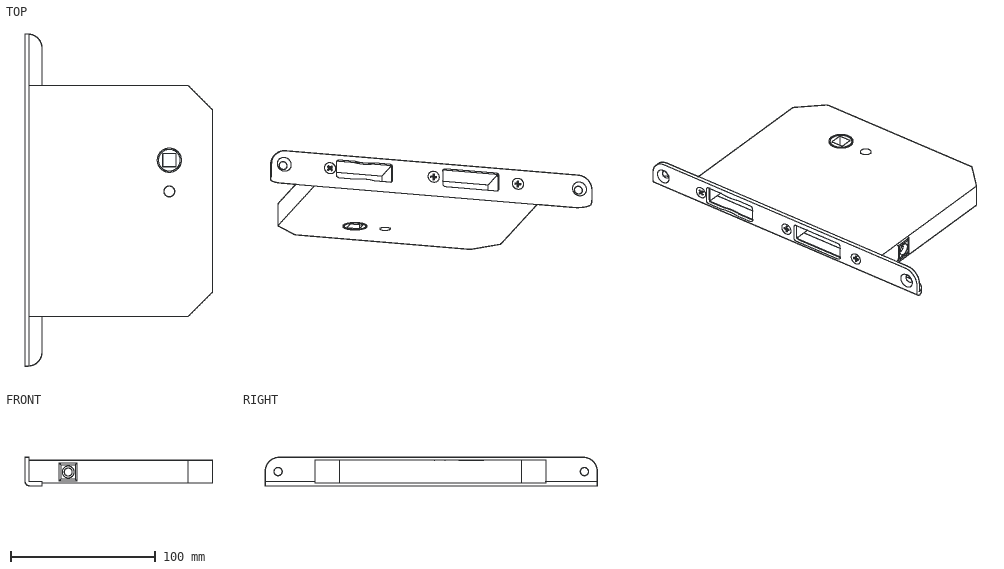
import cadquery as cq


PLATE_LENGTH = 230.0
PLATE_HEIGHT = 20.0
PLATE_THICKNESS = 3.0
FLANGE_WIDTH = 12.0
BEND_RADIUS = 3.5
END_RADIUS = 10.0
PLATE_BOTTOM = -PLATE_HEIGHT / 2
FLANGE_TOP = PLATE_BOTTOM + PLATE_THICKNESS

MOUNT_HOLE_Y = 106.0
MOUNT_HOLE_DIAMETER = 5.5
MOUNT_SINK_DIAMETER = 10.0

CASE_LENGTH_X = 127.0
CASE_LENGTH_Y = 160.0
CASE_HEIGHT = 16.0
CASE_CENTRE_Y = -0.6
CASE_CHAMFER = 17.0
CASE_FRONT = PLATE_THICKNESS
CASE_END_Y = CASE_CENTRE_Y - CASE_LENGTH_Y / 2

OPENING_LENGTH = 40.3
OPENING_HEIGHT = 13.0
OPENING_CORNER_RADIUS = 2.0
LATCH_Y = 48.3
DEADBOLT_Y = -28.0
CAVITY_DEPTH = 25.0
LATCH_CAVITY_STEP = 0.7
BULGE_LENGTH = 14.0
BULGE_HEIGHT = 0.7

SCREW_POSITIONS_Y = [73.1, -1.3, -61.8]
SCREW_TURNS = [45.0, 0.0, 0.0]
SCREW_HEAD_DIAMETER = 8.0
SCREW_HEAD_HEIGHT = 2.0
SCREW_SHANK_DIAMETER = 4.0
SCREW_LENGTH = 12.0
CROSS_LENGTH = 4.0
CROSS_WIDTH = 0.8
CROSS_DEPTH = 1.5

FOLLOWER_X = 100.0
FOLLOWER_Y = 27.6
FOLLOWER_DIAMETER = 16.8
FOLLOWER_RIM_DIAMETER = 15.0
FOLLOWER_RIM_HEIGHT = 0.2
SPINDLE_SIZE = 9.0
PIN_HOLE_Y = 6.0
PIN_HOLE_DIAMETER = 7.3

INSERT_X = 30.0
INSERT_Z = -0.3
INSERT_SIZE = 12.4
INSERT_DEPTH = 8.0
INSERT_CHAMFER = 1.3
INSERT_SINK_DIAMETER = 8.2
INSERT_FLOOR_DIAMETER = 5.5
INSERT_SINK_DEPTH = 2.5


def turned_along_x(radius_profile, y):
    """Solid of revolution about the X axis line at the given Y; profile is (x, radius) pairs."""
    first_x = radius_profile[0][0]
    last_x = radius_profile[-1][0]
    outline = [(first_x, 0), *radius_profile, (last_x, 0)]
    return (
        cq.Workplane("XY").polyline(outline).close()
        .revolve(360, (0, 0, 0), (1, 0, 0))
        .translate((0, y, 0))
    )


def screw_blank(y):
    """Countersunk screw without its drive, also used as the tool for its hole."""
    head = SCREW_HEAD_DIAMETER / 2
    shank = SCREW_SHANK_DIAMETER / 2
    return turned_along_x(
        [(0, head), (SCREW_HEAD_HEIGHT, shank), (SCREW_LENGTH, shank)], y
    )


def bolt_opening(y):
    """Rounded rectangular prism that cuts a bolt opening through the faceplate."""
    return (
        cq.Workplane("YZ").rect(OPENING_LENGTH, OPENING_HEIGHT).extrude(PLATE_THICKNESS)
        .edges("|X").fillet(OPENING_CORNER_RADIUS)
        .translate((0, y, 0))
    )


def latch_bulges():
    """Shallow arcs that narrow the latch opening at mid-length, above and below."""
    half = BULGE_LENGTH / 2
    edge = OPENING_HEIGHT / 2
    upper = (
        cq.Workplane("YZ").moveTo(-half, edge)
        .threePointArc((0, edge - BULGE_HEIGHT), (half, edge)).close()
        .extrude(PLATE_THICKNESS)
    )
    return upper.union(upper.mirror("XY")).translate((0, LATCH_Y, 0))


def make_faceplate():
    angle = (
        cq.Workplane("XZ")
        .moveTo(0, PLATE_HEIGHT / 2)
        .lineTo(PLATE_THICKNESS, PLATE_HEIGHT / 2)
        .lineTo(PLATE_THICKNESS, FLANGE_TOP)
        .lineTo(FLANGE_WIDTH, FLANGE_TOP)
        .lineTo(FLANGE_WIDTH, PLATE_BOTTOM)
        .lineTo(BEND_RADIUS, PLATE_BOTTOM)
        .radiusArc((0, PLATE_BOTTOM + BEND_RADIUS), BEND_RADIUS)
        .close()
        .extrude(PLATE_LENGTH / 2, both=True)
    )
    envelope = cq.Workplane("XY").box(
        FLANGE_WIDTH, PLATE_LENGTH, PLATE_HEIGHT, centered=(False, True, True)
    )
    rounded_plate = envelope.edges("|X and >Z").fillet(END_RADIUS)
    rounded_flange = envelope.edges("|Z and >X").fillet(END_RADIUS)
    plate = angle.intersect(rounded_plate).intersect(rounded_flange)

    latch_opening = bolt_opening(LATCH_Y).cut(latch_bulges())
    plate = plate.cut(latch_opening)
    plate = plate.cut(bolt_opening(DEADBOLT_Y))

    for y in (-MOUNT_HOLE_Y, MOUNT_HOLE_Y):
        sink = [(0, MOUNT_SINK_DIAMETER / 2), (PLATE_THICKNESS, MOUNT_HOLE_DIAMETER / 2)]
        plate = plate.cut(turned_along_x(sink, y))
    for y in SCREW_POSITIONS_Y:
        plate = plate.cut(screw_blank(y))
    return plate


def make_case():
    case = (
        cq.Workplane("XY")
        .box(CASE_LENGTH_X, CASE_LENGTH_Y, CASE_HEIGHT, centered=(False, True, True))
        .translate((CASE_FRONT, CASE_CENTRE_Y, 0))
        .edges("|Z and >X").chamfer(CASE_CHAMFER)
    )

    flange_seat = (
        cq.Workplane("XY")
        .box(FLANGE_WIDTH, PLATE_LENGTH, PLATE_THICKNESS, centered=(False, True, False))
        .translate((0, 0, PLATE_BOTTOM))
    )
    case = case.cut(flange_seat)

    latch_cavity_length = OPENING_LENGTH - LATCH_CAVITY_STEP
    latch_cavity_y = LATCH_Y - LATCH_CAVITY_STEP / 2
    for y, length in [(latch_cavity_y, latch_cavity_length), (DEADBOLT_Y, OPENING_LENGTH)]:
        cavity = cq.Workplane("YZ").rect(length, OPENING_HEIGHT).extrude(CAVITY_DEPTH)
        case = case.cut(cavity.translate((CASE_FRONT, y, 0)))

    for y in SCREW_POSITIONS_Y:
        case = case.cut(screw_blank(y))

    bores = [(FOLLOWER_Y, FOLLOWER_DIAMETER), (PIN_HOLE_Y, PIN_HOLE_DIAMETER)]
    for y, diameter in bores:
        bore = cq.Workplane("XY").center(FOLLOWER_X, y).circle(diameter / 2)
        case = case.cut(bore.extrude(CASE_HEIGHT / 2, both=True))

    return case.cut(insert_block())


def make_follower():
    rim_level = CASE_HEIGHT / 2
    body = (
        cq.Workplane("XY").circle(FOLLOWER_DIAMETER / 2)
        .extrude(rim_level - FOLLOWER_RIM_HEIGHT, both=True)
    )
    rim = cq.Workplane("XY").circle(FOLLOWER_RIM_DIAMETER / 2).extrude(rim_level, both=True)
    spindle_hole = cq.Workplane("XY").rect(SPINDLE_SIZE, SPINDLE_SIZE).extrude(rim_level, both=True)
    return body.union(rim).cut(spindle_hole).translate((FOLLOWER_X, FOLLOWER_Y, 0))


def make_screw(y, turn):
    cross = (
        cq.Workplane("YZ").rect(CROSS_LENGTH, CROSS_WIDTH).extrude(CROSS_DEPTH)
        .union(cq.Workplane("YZ").rect(CROSS_WIDTH, CROSS_LENGTH).extrude(CROSS_DEPTH))
        .rotate((0, 0, 0), (1, 0, 0), turn)
        .translate((0, y, 0))
    )
    return screw_blank(y).cut(cross)


def insert_block():
    """Plain square block whose outer face is flush with the -Y end of the case."""
    return (
        cq.Workplane("XY")
        .box(INSERT_SIZE, INSERT_DEPTH, INSERT_SIZE, centered=(True, False, True))
        .translate((INSERT_X, CASE_END_Y, INSERT_Z))
    )


def make_insert():
    sink = (
        cq.Workplane("XZ", origin=(INSERT_X, CASE_END_Y, INSERT_Z))
        .circle(INSERT_SINK_DIAMETER / 2)
        .workplane(offset=-INSERT_SINK_DEPTH)
        .circle(INSERT_FLOOR_DIAMETER / 2)
        .loft()
    )
    return insert_block().faces("<Y").chamfer(INSERT_CHAMFER).cut(sink)


faceplate = make_faceplate()
case = make_case()
follower = make_follower()
insert = make_insert()
screws = [make_screw(y, turn) for y, turn in zip(SCREW_POSITIONS_Y, SCREW_TURNS)]

result = cq.Compound.makeCompound([
    faceplate.val(),
    case.val(),
    follower.val(),
    insert.val(),
    *[screw.val() for screw in screws],
])